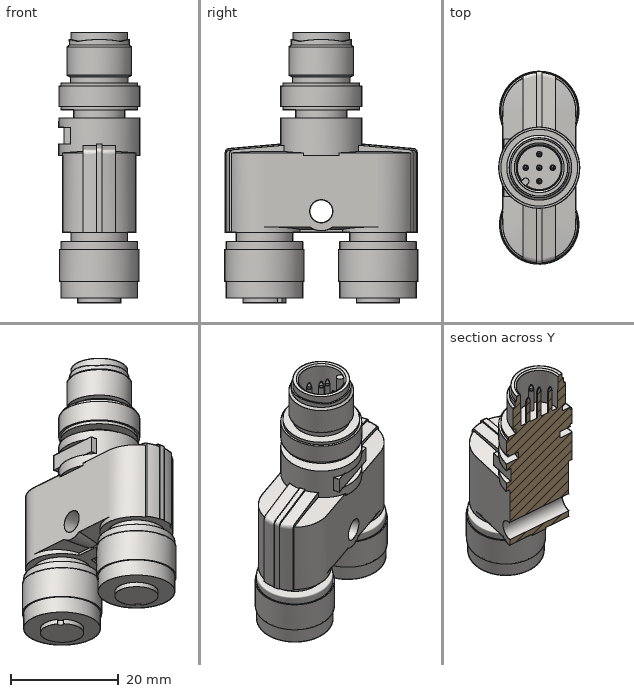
import cadquery as cq
import math

height = 50.1
leg_offset = 10.5

socket_radius = 7.35
socket_rim_radius = 7.1
insert_radius = 4.0
leg_neck_radius = 5.25
rim_bottom_z = 0.9
grip_bottom_z = 4.0
grip_top_z = 9.9
rim_top_z = 11.4
rim_round = 0.25
keyway_radius = 0.6

housing_bottom_z = 13.05
housing_edge_z = 27.8
housing_radius = 6.75
roof_rise = 0.45
roof_inset = 6.0
strip_radius = 7.15
strip_half_width = 3.0
rib_half_width = 0.55
rib_height = 0.3
rib_reach = 17.8
strip_ridge_z = 29.8
strip_end_z = 28.25
band_round = 0.8

hole_z = 17.0
hole_radius = 2.1
hole_boss_radius = 3.6
recess_top_z = 14.05
recess_drop = 0.5
web_half_width = 1.5

collar_radius = 7.5
collar_bottom_z = 27.3
collar_top_z = 34.25
flat_x = 6.55
flat_half_width = 5.3
flat_bottom_z = 29.45
flat_top_z = 32.5

plug_neck_radius = 4.75
knurl_rim_radius = 7.1
knurl_bottom_z = 35.75
knurl_top_z = 40.75
knurl_rim_height = 0.6
groove_radius = 5.35
thread_radius = 6.0
thread_bevel_bottom_z = 41.8
thread_bottom_z = 42.15
thread_top_z = 47.4
thread_bevel_top_z = 47.8
ring_radius = 5.55
ring_peak_z = 48.8
ring_low_z = 48.45
tube_radius = 5.25

bore_floor_z = 42.05
bore_floor_radius = 4.05
bore_radius = 4.25
bore_mouth_radius = 4.6
bore_bevel = 0.25
key_position = 2.5
key_radius = 0.6
key_top_z = 49.7
pin_spacing = 2.5
pin_radius = 0.5
pin_tip_z = 48.2
center_pin_tip_z = 49.45
pin_step_radius = 0.4
pin_step_depth = 1.1
pin_cone_radius = 0.15
pin_cone_depth = 0.6


def revolve_profile(points):
    """Turn a list of (radius, z) points around the Z axis."""
    return cq.Workplane("XZ").polyline(points).close().revolve(360, (0, 0, 0), (0, 1, 0))


def cylinder(radius, bottom_z, top_z, x=0, y=0):
    return cq.Workplane("XY", (x, y, bottom_z)).circle(radius).extrude(top_z - bottom_z)


def block(x_min, x_max, half_width, bottom_z, top_z):
    size = (x_max - x_min, 2 * half_width, top_z - bottom_z)
    return cq.Workplane("XY").box(*size, centered=(False, True, False)).translate((x_min, 0, bottom_z))


def slot_prism(radius, bottom_z):
    """Round-ended outline that follows both socket axes."""
    length = 2 * (leg_offset + radius)
    return cq.Workplane("XY", (0, 0, bottom_z)).slot2D(length, 2 * radius, 90)


def make_leg():
    leg = cylinder(insert_radius, 0, grip_bottom_z)
    keyway_place = -insert_radius / math.sqrt(2)
    leg = leg.cut(cylinder(keyway_radius, 0, rim_bottom_z, keyway_place, keyway_place))
    rim = cylinder(socket_rim_radius, rim_bottom_z, rim_top_z).faces(">Z").edges().fillet(rim_round)
    grip = cylinder(socket_radius, grip_bottom_z, grip_top_z)
    neck = cylinder(leg_neck_radius, grip_top_z, housing_bottom_z)
    return leg.union(rim).union(grip).union(neck)


def roof_wedge(half_width, ridge_z, end_z, reach):
    """Band along Y whose top falls from a ridge on the plug axis to both ends."""
    profile = [
        (-reach, housing_bottom_z),
        (-reach, end_z),
        (0, ridge_z),
        (reach, end_z),
        (reach, housing_bottom_z),
    ]
    return cq.Workplane("YZ", (-half_width, 0, 0)).polyline(profile).close().extrude(2 * half_width)


def round_top_ends(band):
    """Round the top edge at each Y end of a band, leaving its long edges sharp."""
    for end in (-1, 1):
        corner = (-housing_radius, end * leg_offset, housing_edge_z)
        opposite = (housing_radius, end * height, height)
        band = band.edges(cq.selectors.BoxSelector(corner, opposite)).fillet(band_round)
    return band


def make_recess():
    """Undercut on both sides of the web, leaving the legs and the hole boss."""
    recess = None
    for side in (-1, 1):
        pocket = (
            cq.Workplane("XZ", (0, leg_offset, 0))
            .moveTo(side * web_half_width, housing_bottom_z)
            .lineTo(side * collar_radius, housing_bottom_z)
            .lineTo(side * collar_radius, recess_top_z)
            .lineTo(side * housing_radius, recess_top_z)
            .lineTo(side * web_half_width, recess_top_z - recess_drop)
            .close()
            .extrude(2 * leg_offset)
        )
        recess = pocket if recess is None else recess.union(pocket)
    for side in (-1, 1):
        recess = recess.cut(cylinder(housing_radius, housing_bottom_z, recess_top_z, 0, side * leg_offset))
    return recess.cut(cross_hole(hole_boss_radius))


def cross_hole(radius):
    return (
        cq.Workplane("YZ", (-collar_radius, 0, 0))
        .center(0, hole_z)
        .circle(radius)
        .extrude(2 * collar_radius)
    )


def make_housing():
    walls = slot_prism(housing_radius, housing_bottom_z).extrude(housing_edge_z - housing_bottom_z)
    roof_angle = math.degrees(math.atan(roof_inset / roof_rise))
    roof = slot_prism(housing_radius, housing_edge_z).extrude(roof_rise, taper=roof_angle)
    strip = roof_wedge(strip_half_width, strip_ridge_z, strip_end_z, rib_reach)
    strip = round_top_ends(strip.intersect(slot_prism(strip_radius, housing_bottom_z).extrude(height)))
    rib = round_top_ends(
        roof_wedge(rib_half_width, strip_ridge_z + rib_height, strip_end_z + rib_height, rib_reach)
    )
    return walls.union(roof).union(strip).union(rib).cut(make_recess())


def make_collar():
    collar = cylinder(collar_radius, collar_bottom_z, collar_top_z)
    collar = collar.cut(block(-2 * collar_radius, -flat_x, collar_radius, flat_bottom_z, flat_top_z))
    return collar.union(block(-flat_x, 0, flat_half_width, flat_bottom_z, flat_top_z))


def make_plug():
    return revolve_profile([
        (0, collar_top_z),
        (plug_neck_radius, collar_top_z),
        (plug_neck_radius, knurl_bottom_z),
        (knurl_rim_radius, knurl_bottom_z),
        (knurl_rim_radius, knurl_bottom_z + knurl_rim_height),
        (collar_radius, knurl_bottom_z + knurl_rim_height),
        (collar_radius, knurl_top_z - knurl_rim_height),
        (knurl_rim_radius, knurl_top_z - knurl_rim_height),
        (knurl_rim_radius, knurl_top_z),
        (groove_radius, knurl_top_z),
        (groove_radius, thread_bevel_bottom_z),
        (thread_radius, thread_bottom_z),
        (thread_radius, thread_top_z),
        (ring_radius, thread_bevel_top_z),
        (tube_radius, thread_bevel_top_z),
        (tube_radius, height),
        (0, height),
    ])


def make_wavy_ring():
    """Ring above the thread whose upper edge has four crests, on the X and Y axes."""
    trough = ring_radius / math.sqrt(2)
    arch = (
        cq.Workplane("XZ", (0, ring_radius, 0))
        .moveTo(-trough, thread_bevel_top_z)
        .lineTo(-trough, ring_low_z)
        .threePointArc((0, ring_peak_z), (trough, ring_low_z))
        .lineTo(trough, thread_bevel_top_z)
        .close()
        .extrude(2 * ring_radius)
    )
    arches = arch.union(arch.rotate((0, 0, 0), (0, 0, 1), 90))
    return cylinder(ring_radius, thread_bevel_top_z, ring_peak_z).intersect(arches)


def make_bore():
    return revolve_profile([
        (0, bore_floor_z),
        (bore_floor_radius, bore_floor_z),
        (bore_radius, height - bore_bevel),
        (bore_mouth_radius, height),
        (0, height),
    ])


def make_key():
    """Round-nosed key that runs from the bore wall toward the axis, at 45 degrees."""
    nose_distance = key_position * math.sqrt(2)
    nose = cylinder(key_radius, bore_floor_z, key_top_z, -nose_distance)
    root = block(-bore_mouth_radius, -nose_distance, key_radius, bore_floor_z, key_top_z)
    return nose.union(root).rotate((0, 0, 0), (0, 0, 1), 45)


def make_pin(tip_z):
    """Contact pin with a stepped, tapered tip."""
    return revolve_profile([
        (0, bore_floor_z),
        (pin_radius, bore_floor_z),
        (pin_radius, tip_z - pin_step_depth),
        (pin_step_radius, tip_z - pin_step_depth),
        (pin_step_radius, tip_z - pin_cone_depth),
        (pin_cone_radius, tip_z),
        (0, tip_z),
    ])


leg = make_leg().translate((0, leg_offset, 0))
result = make_housing().union(leg).union(leg.rotate((0, 0, 0), (0, 0, 1), 180))
result = result.union(make_collar()).cut(cross_hole(hole_radius))
result = result.union(make_plug()).union(make_wavy_ring()).cut(make_bore())

result = result.union(make_key())
result = result.union(make_pin(center_pin_tip_z))
for x, y in ((1, 0), (-1, 0), (0, 1), (0, -1)):
    result = result.union(make_pin(pin_tip_z).translate((x * pin_spacing, y * pin_spacing, 0)))